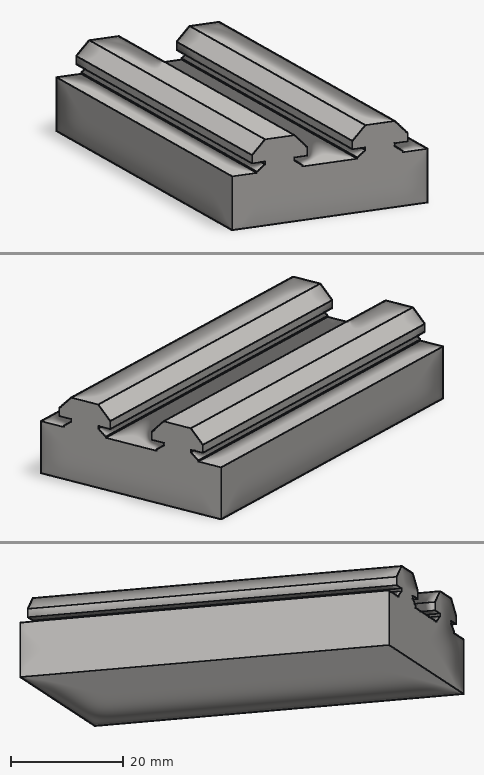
import cadquery as cq

length = 70.0
base_width = 39.0
base_height = 10.0
total_height = 16.0

rail_pitch = 20.0
head_width = 11.05
head_chamfer = 2.6
head_underside_z = 11.9
neck_width = 5.9
flare_top_z = 11.4
foot_width = 9.1
foot_step = 0.2


def make_base():
    return cq.Workplane("XY").box(length, base_width, base_height, centered=(True, True, False))


def make_rail(center_y):
    """Extrude one symmetric rail profile along the full length of the base."""
    half_head = head_width / 2
    half_top = half_head - head_chamfer
    half_neck = neck_width / 2
    flare_bottom_z = base_height + foot_step
    half_foot = foot_width / 2
    right_side = [
        (half_foot, base_height),
        (half_foot, flare_bottom_z),
        (half_neck, flare_top_z),
        (half_neck, head_underside_z),
        (half_head, head_underside_z),
        (half_head, total_height - head_chamfer),
        (half_top, total_height),
    ]
    left_side = [(-y, z) for y, z in reversed(right_side)]
    return (
        cq.Workplane("YZ", origin=(-length / 2, center_y, 0))
        .polyline(right_side + left_side)
        .close()
        .extrude(length)
    )


result = make_base()
for side in (-1, 1):
    result = result.union(make_rail(side * rail_pitch / 2))